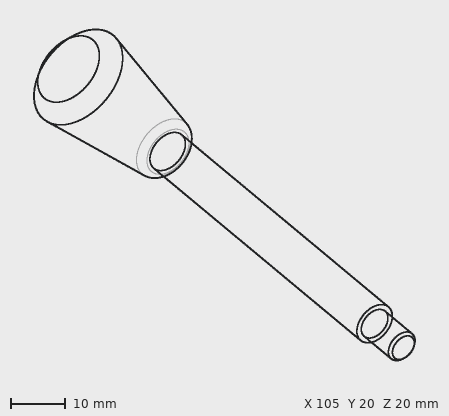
import cadquery as cq

total_length = 105.0
knob_length = 31.1
pin_length = 9.0

knob_diameter = 20.0
knob_small_diameter = 12.0
rim_chamfer = 3.0
tip_fillet = 1.5

shaft_diameter = 8.0
pin_diameter = 6.0
pin_chamfer = 0.5

left_end = -total_length / 2
right_end = total_length / 2
knob_end = left_end + knob_length
shoulder = right_end - pin_length

knob_radius = knob_diameter / 2


def rod(start, end, diameter):
    """Cylinder along the X axis between two stations."""
    return cq.Workplane("YZ", origin=(start, 0, 0)).circle(diameter / 2).extrude(end - start)


knob_half_section = [
    (left_end, 0),
    (left_end, knob_radius - rim_chamfer),
    (left_end + rim_chamfer, knob_radius),
    (knob_end, knob_small_diameter / 2),
    (knob_end, 0),
]
knob = cq.Workplane("XY").polyline(knob_half_section).close().revolve(360, (0, 0, 0), (1, 0, 0))
knob = knob.faces(">X").edges().fillet(tip_fillet)

shaft = rod(knob_end, shoulder, shaft_diameter)
pin = rod(shoulder, right_end, pin_diameter).faces(">X").chamfer(pin_chamfer)

result = knob.union(shaft).union(pin)